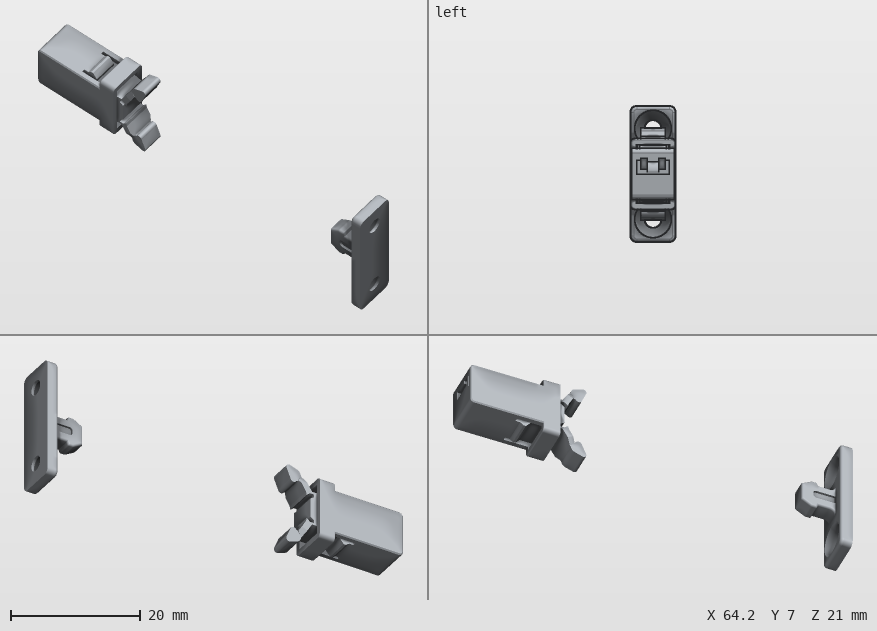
import cadquery as cq

TOTAL_LENGTH = 64.2
WIDTH = 7.0

HOUSING_LENGTH = 15.1
HOUSING_HEIGHT = 7.9
HOUSING_TOP = HOUSING_HEIGHT / 2
END_FILLET = 0.7
SIDE_EDGE_CHAMFER = 0.2
FLANGE_LENGTH = 2.8
FLANGE_HEIGHT = 11.0
FLANGE_FILLET = 0.8
FLANGE_EDGE_FILLET = 0.2
FLANGE_START = HOUSING_LENGTH - FLANGE_LENGTH

CORE_WIDTH = 4.9
CORE_HEIGHT = 6.0
CORE_TOP = CORE_HEIGHT / 2
CORE_START = 0.95

WINDOW_START = 8.15
WINDOW_WIDTH = 5.15
WINDOW_TOP = 4.5
TONGUE_WIDTH = 4.1
TONGUE_END = 10.65
TONGUE_END_TOP = 3.45
BUMP_START = 8.9
BUMP_PEAK_START = 9.5
BUMP_PEAK_END = 9.9
BUMP_HEEL = 10.25
BUMP_HEIGHT = 0.45

PORT_WIDTH = 5.0
PORT_TOP = 2.1
PORT_BOTTOM = -0.05
PORT_BRIDGE_WIDTH = 1.8
PORT_BRIDGE_BOTTOM = 1.85
EAR_WIDTH = 1.0
EAR_CENTER = (PORT_BRIDGE_WIDTH + EAR_WIDTH) / 2
EAR_TOP = 2.45
EAR_BOTTOM = 0.7
EAR_DEPTH = 1.6
SCOOP_BOTTOM = 0.3
SCOOP_DEPTH = 0.8

NOSE_LENGTH = 1.1
NOSE_SHOULDER = 2.1
NOSE_HALF_HEIGHT = 1.7
NOSE_END = HOUSING_LENGTH + NOSE_LENGTH
HEAD_WIDTH = 3.7
JAW_OUTER_ROOT = HOUSING_LENGTH + 0.8
JAW_INNER_ROOT = HOUSING_LENGTH + 0.45
HINGE_THICKNESS = 0.4
ARM_TAPER_START = 1.75
ARM_TAPER_END = 2.9
ARM_CLEAR_LENGTH = 4.5
JAW_SHOULDER = (17.5, 5.8)
JAW_THROAT = (18.0, 4.6)
JAW_HEEL_TOP = (16.95, 2.7)
JAW_HEEL_TIP = (16.8, 2.1)
CROWN_MIDDLE = (17.8, 6.35)
CROWN_END = (18.3, 6.7)
TIP_START = (19.4, 7.05)
TIP_MIDDLE = (19.95, 7.0)
TIP_END = (20.1, 6.35)
HOOK_START = (19.4, 4.6)
HOOK_MIDDLE = (18.85, 4.2)
HOOK_END = (18.35, 4.5)
JAW_HEEL_START = 16.25

PLATE_THICKNESS = 2.0
PLATE_HEIGHT = 21.0
PLATE_CORNER_RADIUS = 0.95
PLATE_EDGE_FILLET = 0.5
PLATE_FACE = TOTAL_LENGTH - PLATE_THICKNESS
SCREW_SPACING = 14.0
SCREW_HOLE_DIAMETER = 2.55
COUNTERSINK_DIAMETER = 5.65
COUNTERSINK_ANGLE = 90
KNOB_LENGTH = 5.65
KNOB_WIDTH = 2.95
KNOB_EDGE_FILLET = 0.4
TIP_HALF_HEIGHT = 1.7
BARB_HALF_HEIGHT = 2.6
NECK_HALF_HEIGHT = 2.05
BARB_START = 4.0
BARB_END = 3.1
NECK_START = 2.8
ROOT_FLARE_RADIUS = 0.95
CREST_FILLET = 0.5
HOOK_FILLET = 0.2
GROOVE_LENGTH = 3.7
GROOVE_HEIGHT = 1.4
GROOVE_DEPTH = 0.4
GROOVE_FILLET = 0.5


def block(x_range, y_range, z_range):
    """Axis-aligned block between the given limits."""
    x0, x1 = x_range
    y0, y1 = y_range
    z0, z1 = z_range
    return cq.Workplane("XY").box(x1 - x0, y1 - y0, z1 - z0, centered=False).translate((x0, y0, z0))


def centred_block(x_range, width, z_range):
    """Block that is symmetric about the XZ plane."""
    return block(x_range, (-width / 2, width / 2), z_range)


def extruded_profile(points, width):
    """XZ outline given a width that is symmetric about the XZ plane."""
    return cq.Workplane("XZ").polyline(points).close().extrude(width / 2, both=True)


def top_and_bottom(shape):
    """The shape together with its mirror image below the XY plane."""
    return [shape, shape.mirror("XY")]


def tongue_window():
    """Window around the upper tongue, which runs on through the flange at a greater height."""
    window = centred_block((WINDOW_START, HOUSING_LENGTH), WINDOW_WIDTH, (CORE_TOP, HOUSING_TOP))
    passage = centred_block((FLANGE_START, HOUSING_LENGTH), WINDOW_WIDTH, (CORE_TOP, WINDOW_TOP))
    return window.union(passage)


def tongue():
    """Upper tongue, rooted at the closed side of its window, with a retaining bump at its free end."""
    return extruded_profile(
        [
            (WINDOW_START, CORE_TOP),
            (WINDOW_START, HOUSING_TOP),
            (BUMP_START, HOUSING_TOP),
            (BUMP_PEAK_START, HOUSING_TOP + BUMP_HEIGHT),
            (BUMP_PEAK_END, HOUSING_TOP + BUMP_HEIGHT),
            (BUMP_HEEL, HOUSING_TOP),
            (TONGUE_END, TONGUE_END_TOP),
            (TONGUE_END, CORE_TOP),
        ],
        TONGUE_WIDTH,
    )


def ear_pockets():
    """Two pockets, one at each ear of the port, over the ear's full height."""
    column = centred_block((0, EAR_DEPTH), EAR_WIDTH, (EAR_BOTTOM, EAR_TOP)).translate((0, EAR_CENTER, 0))
    return column.union(column.mirror("XZ"))


def port_opening():
    """Broad part of the port, below the bridge and without the ears."""
    opening = centred_block((0, CORE_START), PORT_WIDTH, (PORT_BOTTOM, PORT_TOP))
    return opening.cut(centred_block((0, CORE_START), PORT_BRIDGE_WIDTH, (PORT_BRIDGE_BOTTOM, PORT_TOP)))


def make_housing():
    """Flanged housing with the core's cavity, the end port and two spring tongues."""
    body = centred_block((0, HOUSING_LENGTH), WIDTH, (-HOUSING_TOP, HOUSING_TOP))
    body = body.edges("<X and |Y").fillet(END_FILLET)
    body = body.faces("<Y or >Y").edges().chamfer(SIDE_EDGE_CHAMFER)

    flange = centred_block((FLANGE_START, HOUSING_LENGTH), WIDTH, (-FLANGE_HEIGHT / 2, FLANGE_HEIGHT / 2))
    flange = flange.edges("|X").fillet(FLANGE_FILLET)
    flange = flange.faces("<X").edges().fillet(FLANGE_EDGE_FILLET)
    body = body.union(flange)

    body = body.cut(centred_block((CORE_START, HOUSING_LENGTH), CORE_WIDTH, (-CORE_TOP, CORE_TOP)))
    body = body.cut(port_opening()).cut(ear_pockets())
    for window in top_and_bottom(tongue_window()):
        body = body.cut(window)
    for spring in top_and_bottom(tongue()):
        body = body.union(spring)
    return body


def arm_plane():
    """Plane of the arm's outer face: local X runs from the hinge to the head, local Y along the width."""
    shoulder_x, shoulder_z = JAW_SHOULDER
    run = shoulder_x - JAW_OUTER_ROOT
    rise = shoulder_z - CORE_TOP
    return cq.Plane(origin=(JAW_OUTER_ROOT, 0, CORE_TOP), xDir=(run, 0, rise), normal=(-rise, 0, run))


def jaw_arm():
    """Thin hinge and inclined arm of the upper jaw; the arm narrows to the head's width."""
    hinge_underside = CORE_TOP - HINGE_THICKNESS
    arm = extruded_profile(
        [
            (HOUSING_LENGTH, CORE_TOP),
            (JAW_OUTER_ROOT, CORE_TOP),
            JAW_SHOULDER,
            JAW_THROAT,
            JAW_HEEL_TOP,
            JAW_HEEL_TIP,
            (JAW_HEEL_START, hinge_underside),
            (HOUSING_LENGTH, hinge_underside),
        ],
        CORE_WIDTH,
    )
    corner = (
        cq.Workplane(arm_plane())
        .polyline(
            [
                (ARM_TAPER_START, CORE_WIDTH / 2),
                (ARM_TAPER_END, HEAD_WIDTH / 2),
                (ARM_CLEAR_LENGTH, HEAD_WIDTH / 2),
                (ARM_CLEAR_LENGTH, CORE_WIDTH / 2),
            ]
        )
        .close()
        .extrude(CORE_WIDTH / 2, both=True)
    )
    return arm.cut(corner).cut(corner.mirror("XZ"))


def jaw_head():
    """Hooked head of the upper jaw, with rounded crown, tip and hook."""
    return (
        cq.Workplane("XZ")
        .moveTo(*JAW_SHOULDER)
        .threePointArc(CROWN_MIDDLE, CROWN_END)
        .lineTo(*TIP_START)
        .threePointArc(TIP_MIDDLE, TIP_END)
        .lineTo(*HOOK_START)
        .threePointArc(HOOK_MIDDLE, HOOK_END)
        .lineTo(*JAW_THROAT)
        .close()
        .extrude(HEAD_WIDTH / 2, both=True)
    )


def upper_jaw():
    """Complete upper jaw."""
    return jaw_arm().union(jaw_head())


def scoop():
    """Hollow below the bridge: a round ramp, tangent to the plug's face, that deepens upward."""
    height = PORT_BRIDGE_BOTTOM - SCOOP_BOTTOM
    radius = (height**2 + SCOOP_DEPTH**2) / (2 * SCOOP_DEPTH)
    return (
        cq.Workplane("XZ")
        .moveTo(0, SCOOP_BOTTOM)
        .radiusArc((SCOOP_DEPTH, PORT_BRIDGE_BOTTOM), radius)
        .lineTo(0, PORT_BRIDGE_BOTTOM)
        .close()
        .extrude(PORT_BRIDGE_WIDTH / 2, both=True)
    )


def nose():
    """Front of the core: a block that tapers between the two jaws."""
    return extruded_profile(
        [
            (HOUSING_LENGTH, CORE_TOP - HINGE_THICKNESS),
            (JAW_INNER_ROOT, CORE_TOP - HINGE_THICKNESS),
            (JAW_INNER_ROOT, NOSE_SHOULDER),
            (NOSE_END, NOSE_HALF_HEIGHT),
            (NOSE_END, -NOSE_HALF_HEIGHT),
            (JAW_INNER_ROOT, -NOSE_SHOULDER),
            (JAW_INNER_ROOT, HINGE_THICKNESS - CORE_TOP),
            (HOUSING_LENGTH, HINGE_THICKNESS - CORE_TOP),
        ],
        CORE_WIDTH,
    )


def make_latch():
    """Latch: a core that fills the cavity and the end port, a nose and two jaws."""
    latch = centred_block((CORE_START, HOUSING_LENGTH), CORE_WIDTH, (-CORE_TOP, CORE_TOP))
    plug = port_opening().cut(scoop())
    latch = latch.union(plug).cut(ear_pockets())
    latch = latch.union(nose())
    for jaw in top_and_bottom(upper_jaw()):
        latch = latch.union(jaw)
    return latch


def strike_plate():
    """Rounded plate with two countersunk screw holes."""
    plate = centred_block((PLATE_FACE, TOTAL_LENGTH), WIDTH, (-PLATE_HEIGHT / 2, PLATE_HEIGHT / 2))
    plate = plate.edges("|X").fillet(PLATE_CORNER_RADIUS)
    plate = plate.faces("<X").edges().fillet(PLATE_EDGE_FILLET)
    return (
        plate.faces("<X")
        .workplane(origin=(PLATE_FACE, 0, 0))
        .pushPoints([(0, -SCREW_SPACING / 2), (0, SCREW_SPACING / 2)])
        .cskHole(SCREW_HOLE_DIAMETER, COUNTERSINK_DIAMETER, COUNTERSINK_ANGLE)
    )


def upper_knob_half():
    """Upper half of the knob: barb, neck and the concave flare where the neck meets the plate."""
    flare_start = PLATE_FACE - ROOT_FLARE_RADIUS
    flare_top = NECK_HALF_HEIGHT + ROOT_FLARE_RADIUS
    half = (
        cq.Workplane("XZ")
        .moveTo(PLATE_FACE - KNOB_LENGTH, 0)
        .lineTo(PLATE_FACE - KNOB_LENGTH, TIP_HALF_HEIGHT)
        .lineTo(PLATE_FACE - BARB_START, BARB_HALF_HEIGHT)
        .lineTo(PLATE_FACE - BARB_END, BARB_HALF_HEIGHT)
        .lineTo(PLATE_FACE - NECK_START, NECK_HALF_HEIGHT)
        .lineTo(flare_start, NECK_HALF_HEIGHT)
        .radiusArc((PLATE_FACE, flare_top), -ROOT_FLARE_RADIUS)
        .lineTo(PLATE_FACE, 0)
        .close()
        .extrude(KNOB_WIDTH / 2, both=True)
    )
    crest_front = (PLATE_FACE - BARB_START, 0, BARB_HALF_HEIGHT)
    crest_back = (PLATE_FACE - BARB_END, 0, BARB_HALF_HEIGHT)
    half = half.edges(cq.NearestToPointSelector(crest_front)).fillet(CREST_FILLET)
    return half.edges(cq.NearestToPointSelector(crest_back)).fillet(HOOK_FILLET)


def knob():
    """Barbed knob that the jaws grip, with rounded side edges and a groove in each side."""
    upper, lower = top_and_bottom(upper_knob_half())
    body = upper.union(lower).clean()
    body = body.faces("<Y or >Y").edges("not(>X)").fillet(KNOB_EDGE_FILLET)

    groove_x = (PLATE_FACE - GROOVE_LENGTH, PLATE_FACE)
    groove = centred_block(groove_x, KNOB_WIDTH, (-GROOVE_HEIGHT / 2, GROOVE_HEIGHT / 2))
    groove = groove.edges("<X and |Y").fillet(GROOVE_FILLET)
    web = centred_block(groove_x, KNOB_WIDTH - 2 * GROOVE_DEPTH, (-GROOVE_HEIGHT / 2, GROOVE_HEIGHT / 2))
    return body.cut(groove.cut(web))


def make_strike():
    """Strike: screw plate and knob in one piece."""
    return strike_plate().union(knob())


housing = make_housing()
latch = make_latch()
strike = make_strike()

result = cq.Compound.makeCompound([housing.val(), latch.val(), strike.val()])